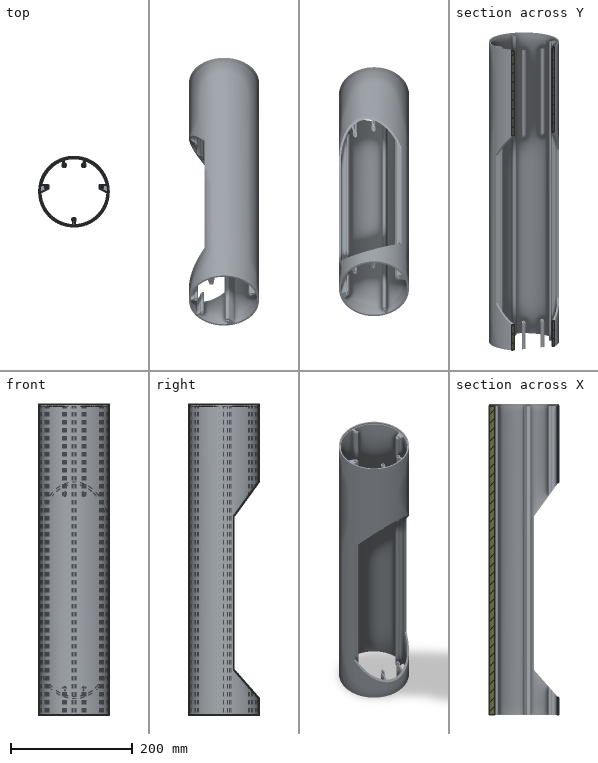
import cadquery as cq

LENGTH = 510.0
OUTER_D = 115.0
WALL = 3.0
BORE_D = OUTER_D - 2 * WALL
OUTER_R = OUTER_D / 2
BORE_R = BORE_D / 2

REBATE_D = 111.2
REBATE_DEPTH = 3.0

CHANNEL_BORE_D = 3.3
CHANNEL_WALL = 1.6
CHANNEL_OUTER_D = CHANNEL_BORE_D + 2 * CHANNEL_WALL

BACK_CHANNEL_X = 16.2
BACK_CHANNEL_Y = 43.2
BACK_STEM_LEAN = 10.0
BACK_STEM_WIDTH = 3.0
FRONT_CHANNEL_Y = -45.8
FRONT_STEM_WIDTH = 4.0

SIDE_CHANNEL_X = 46.0
SIDE_CHANNEL_Y = 7.25
SIDE_MOUTH_WIDTH = 1.6
SIDE_MOUTH_LEAN = 25.0
GUSSET_TOP_Y = 11.0
GUSSET_FOOT_Y = -1.5
GUSSET_TIP_X = 41.25
GUSSET_TIP_Y = 5.0
GUSSET_TIP_FILLET = 1.6

WINDOW_FLOOR_Y = 16.2
WINDOW_FLOOR_BOTTOM_Z = 74.5
WINDOW_FLOOR_TOP_Z = 326.0
WINDOW_MOUTH_BOTTOM_Z = 27.5
WINDOW_MOUTH_TOP_Z = 383.0


def cylinder(diameter, x=0.0, y=0.0):
    return cq.Workplane("XY").center(x, y).circle(diameter / 2).extrude(LENGTH)


def bar(x, y, angle, reach, width):
    """Full-length bar reaching from (x, y) in the direction of the angle."""
    flat = cq.Workplane("XY").center(reach / 2, 0).rect(reach, width).extrude(LENGTH)
    return flat.rotate((0, 0, 0), (0, 0, 1), angle).translate((x, y, 0))


def tube():
    return cylinder(OUTER_D).cut(cylinder(BORE_D))


def stemmed_channel(x, y, stem_angle, stem_width):
    """Closed screw channel on a stem that runs into the tube wall."""
    stem = bar(x, y, stem_angle, OUTER_R, stem_width).intersect(cylinder(OUTER_D))
    return stem.union(cylinder(CHANNEL_OUTER_D, x, y)).cut(cylinder(CHANNEL_BORE_D, x, y))


def side_gusset(side):
    """Gusset on the tube wall with a round tip and a screw channel open at its top."""
    outline = [
        (side * OUTER_R, GUSSET_TOP_Y),
        (side * GUSSET_TIP_X, GUSSET_TOP_Y),
        (side * GUSSET_TIP_X, GUSSET_TIP_Y),
        (side * BORE_R, GUSSET_FOOT_Y),
        (side * OUTER_R, GUSSET_FOOT_Y),
    ]
    inward_face = "<X" if side > 0 else ">X"
    channel_x = side * SIDE_CHANNEL_X
    gusset = cq.Workplane("XY").polyline(outline).close().extrude(LENGTH)
    gusset = gusset.faces(inward_face).edges("|Z").fillet(GUSSET_TIP_FILLET)
    gusset = gusset.intersect(cylinder(OUTER_D))
    gusset = gusset.cut(cylinder(CHANNEL_BORE_D, channel_x, SIDE_CHANNEL_Y))
    mouth_angle = 90 + side * SIDE_MOUTH_LEAN
    return gusset.cut(bar(channel_x, SIDE_CHANNEL_Y, mouth_angle, CHANNEL_OUTER_D, SIDE_MOUTH_WIDTH))


def rebate():
    floor = cq.Workplane("XY").workplane(offset=LENGTH - REBATE_DEPTH)
    return floor.circle(REBATE_D / 2).extrude(REBATE_DEPTH)


def window():
    outline = [
        (WINDOW_FLOOR_Y, WINDOW_FLOOR_BOTTOM_Z),
        (OUTER_R, WINDOW_MOUTH_BOTTOM_Z),
        (OUTER_R, WINDOW_MOUTH_TOP_Z),
        (WINDOW_FLOOR_Y, WINDOW_FLOOR_TOP_Z),
    ]
    return cq.Workplane("YZ").polyline(outline).close().extrude(OUTER_R, both=True)


result = tube()
for side in (-1, 1):
    stem_angle = 90 - side * BACK_STEM_LEAN
    back_channel = stemmed_channel(side * BACK_CHANNEL_X, BACK_CHANNEL_Y, stem_angle, BACK_STEM_WIDTH)
    result = result.union(back_channel).union(side_gusset(side))
result = result.union(stemmed_channel(0, FRONT_CHANNEL_Y, 270, FRONT_STEM_WIDTH))
result = result.cut(rebate()).cut(window())